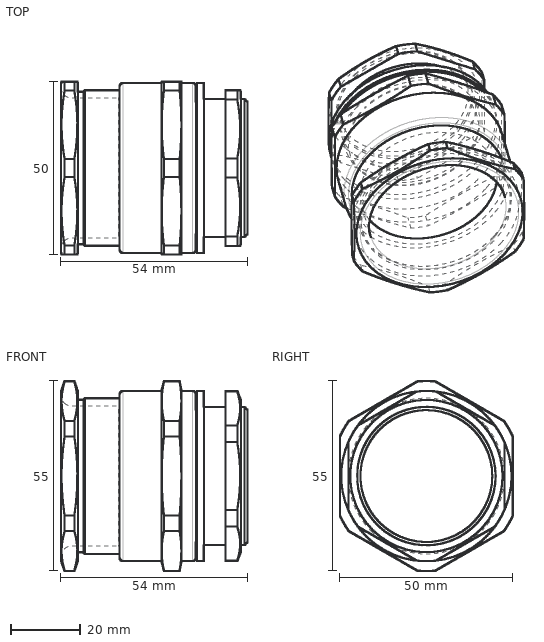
import cadquery as cq
import math


total_length = 53.95

neck_diameter = 44.15
sleeve_diameter = 45.1
sleeve_start = 6.45
sleeve_chamfer_length = 0.5

body_diameter = 49.2
body_start = 16.9
body_end = 38.95
body_front_round = 1.1
body_back_round = 0.9

groove_diameter = 38.4
washer_start = 39.25
washer_end = 41.25
washer_diameter = body_diameter

spigot_diameter = 40.0
spigot_chamfer = 0.95

large_flats = 50.0
large_corners = 55.0
large_face_diameter = 48.95
entry_nut_length = 4.9
entry_nut_bevel = 1.05
body_nut_start = 29.0
body_nut_end = 34.85
body_nut_front_bevel = 0.75
body_nut_back_bevel = 0.6

lock_flats = 45.1
lock_corners = 49.15
lock_face_diameter = 44.0
lock_nut_start = 47.45
lock_nut_end = 52.0
lock_nut_bevel = 1.05

bore_diameter = 40.4
bore_depth = 16.6
mouth_diameter = 46.7


def revolve_profile(points):
    """Turn a closed (x, radius) outline about the X axis."""
    return cq.Workplane("XY").polyline(points).close().revolve(360, (0, 0, 0), (1, 0, 0))


def cylinder(start, end, diameter):
    """Solid cylinder along X between two stations."""
    return cq.Workplane("YZ").workplane(offset=start).circle(diameter / 2).extrude(end - start)


def hex_nut(start, end, flats, corners, face_diameter, front_bevel, back_bevel):
    """Hexagon with flats facing +Y and -Y, its corners turned round and its faces bevelled."""
    sharp_corners = flats / math.cos(math.pi / 6)
    prism = (
        cq.Workplane("YZ")
        .workplane(offset=start)
        .transformed(rotate=(0, 0, 90))
        .polygon(6, sharp_corners)
        .extrude(end - start)
    )
    corner_radius = corners / 2
    face_radius = face_diameter / 2
    envelope_points = [(start, 0)]
    if front_bevel > 0:
        envelope_points.append((start, face_radius))
    envelope_points.append((start + front_bevel, corner_radius))
    envelope_points.append((end - back_bevel, corner_radius))
    envelope_points.append((end, face_radius))
    envelope_points.append((end, 0))
    return prism.intersect(revolve_profile(envelope_points))


def sleeve():
    """Neck, then the sleeve with its chamfered shoulder."""
    neck = cylinder(0, sleeve_start, neck_diameter)
    shoulder_points = [
        (sleeve_start, 0),
        (sleeve_start, neck_diameter / 2),
        (sleeve_start + sleeve_chamfer_length, sleeve_diameter / 2),
        (body_start, sleeve_diameter / 2),
        (body_start, 0),
    ]
    return neck.union(revolve_profile(shoulder_points))


def main_body():
    """Large cylinder with both rims rounded."""
    body = cylinder(body_start, body_end, body_diameter)
    return body.faces("<X").edges().fillet(body_front_round).faces(">X").edges().fillet(body_back_round)


def spigot():
    """Groove core, washer and the chamfered end spigot."""
    core = cylinder(body_end, washer_start, groove_diameter)
    washer = cylinder(washer_start, washer_end, washer_diameter)
    stub = cylinder(washer_end, total_length, spigot_diameter)
    stub = stub.faces(">X").edges().chamfer(spigot_chamfer)
    return core.union(washer).union(stub)


def blind_bore():
    """Bore whose mouth flares out to the entry face in a quarter round."""
    bore_radius = bore_diameter / 2
    mouth_radius = mouth_diameter / 2
    flare = mouth_radius - bore_radius
    middle = (
        flare * (1 - math.sin(math.pi / 4)),
        mouth_radius - flare * math.sin(math.pi / 4),
    )
    return (
        cq.Workplane("XY")
        .moveTo(0, 0)
        .lineTo(0, mouth_radius)
        .threePointArc(middle, (flare, bore_radius))
        .lineTo(bore_depth, bore_radius)
        .lineTo(bore_depth, 0)
        .close()
        .revolve(360, (0, 0, 0), (1, 0, 0))
    )


entry_nut = hex_nut(
    0,
    entry_nut_length,
    large_flats,
    large_corners,
    large_face_diameter,
    front_bevel=entry_nut_bevel,
    back_bevel=entry_nut_bevel,
)
body_nut = hex_nut(
    body_nut_start,
    body_nut_end,
    large_flats,
    large_corners,
    large_face_diameter,
    front_bevel=body_nut_front_bevel,
    back_bevel=body_nut_back_bevel,
)
lock_nut = hex_nut(
    lock_nut_start,
    lock_nut_end,
    lock_flats,
    lock_corners,
    lock_face_diameter,
    front_bevel=0,
    back_bevel=lock_nut_bevel,
)

result = sleeve().union(main_body()).union(spigot())
for nut in (entry_nut, body_nut, lock_nut):
    result = result.union(nut)
result = result.cut(blind_bore())